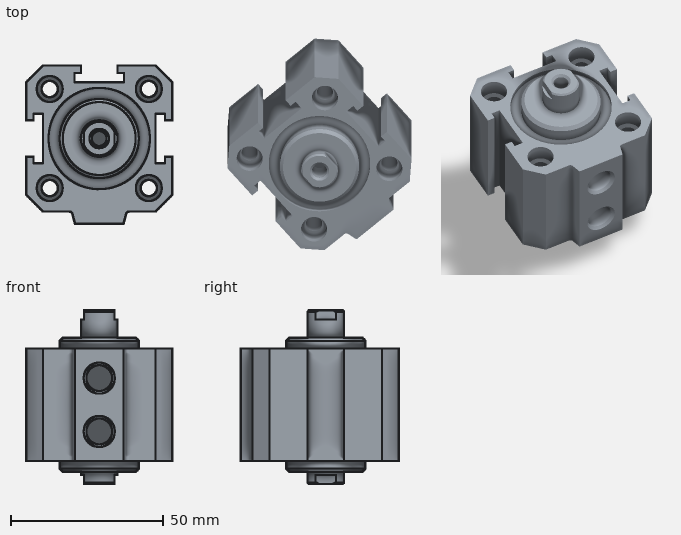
import cadquery as cq
import math


width = 48.0
half_width = width / 2
height = 36.95
half_height = height / 2
corner_chamfer = 5.6

slot_mouth = 11.9
slot_inner = 16.2
slot_depth = 5.5
slot_lip = 2.5

boss_projection = 4.0
boss_face_width = 15.95
boss_side_angle = 15
boss_root_width = boss_face_width + 2 * boss_projection * math.tan(math.radians(boss_side_angle))
boss_root_radius = 1.0
boss_front_y = -half_width - boss_projection

collar_diameter = 26.0
collar_projection = 3.55
collar_chamfer = 1.0
recess_diameter = 33.3
recess_depth = 1.8

mount_spacing = 32.5
mount_diameter = 5.3
mount_bore_diameter = 8.55
mount_bore_depth = 5.55

port_diameter = 8.5
port_mouth_diameter = 10.2
port_chamfer = (port_mouth_diameter - port_diameter) / 2
port_spacing = 17.5
port_depth = 11.95

rod_diameter = 12.0
rod_above = 12.55
rod_below = 7.5
rod_chamfer = 0.5
flat_spacing = 10.05
flat_length = 2.95
rod_hole_diameter = 4.9
rod_hole_mouth_diameter = 6.4
rod_hole_chamfer = (rod_hole_mouth_diameter - rod_hole_diameter) / 2
rod_hole_depth = 10.0


def end_plane(side, distance):
    """Plane across Z at the given distance from the origin, facing outward at the +1 or -1 end."""
    return cq.Plane(origin=(0, 0, side * distance), xDir=(1, 0, 0), normal=(0, 0, side))


def blind_hole(plane, diameter, depth, chamfer):
    """Cutter for a hole sunk against the plane's normal, with a 45 degree chamfered mouth."""
    radius = diameter / 2
    return (
        cq.Workplane("XZ")
        .moveTo(0, 0)
        .lineTo(radius + chamfer, 0)
        .lineTo(radius, -chamfer)
        .lineTo(radius, -depth)
        .lineTo(0, -depth)
        .close()
        .revolve(360, (0, 0, 0), (0, 1, 0))
        .val()
        .moved(cq.Location(plane))
    )


def make_boss():
    """Port boss with sloping sides, continued inward to the housing centre."""
    return (
        cq.Workplane("XY", origin=(0, 0, -half_height))
        .moveTo(-boss_face_width / 2, boss_front_y)
        .lineTo(boss_face_width / 2, boss_front_y)
        .lineTo(boss_root_width / 2, -half_width)
        .lineTo(boss_root_width / 2, 0)
        .lineTo(-boss_root_width / 2, 0)
        .lineTo(-boss_root_width / 2, -half_width)
        .close()
        .extrude(height)
    )


def make_slot():
    """Cutter for the T-slot in the back face."""
    mouth = cq.Workplane("XY").box(slot_mouth, 2 * slot_lip, height).translate((0, half_width, 0))
    inner_depth = slot_depth - slot_lip
    inner_y = half_width - slot_lip - inner_depth / 2
    inner = cq.Workplane("XY").box(slot_inner, inner_depth, height).translate((0, inner_y, 0))
    return mouth.union(inner)


def make_housing():
    body = cq.Workplane("XY").box(width, width, height).edges("|Z").chamfer(corner_chamfer)

    body = body.union(make_boss())
    for x in (-boss_root_width / 2, boss_root_width / 2):
        root = cq.selectors.NearestToPointSelector((x, -half_width, 0))
        body = body.edges(root).fillet(boss_root_radius)

    slot = make_slot()
    for angle in (-90, 0, 90):
        body = body.cut(slot.rotate((0, 0, 0), (0, 0, 1), angle))

    for side in (1, -1):
        recess_floor = end_plane(side, half_height - recess_depth)
        body = body.cut(cq.Workplane(recess_floor).circle(recess_diameter / 2).extrude(recess_depth))
        collar = (
            cq.Workplane(recess_floor)
            .circle(collar_diameter / 2)
            .extrude(recess_depth + collar_projection)
            .faces(">Z" if side > 0 else "<Z")
            .chamfer(collar_chamfer)
        )
        body = body.union(collar)
        counterbores = (
            cq.Workplane(end_plane(side, half_height - mount_bore_depth))
            .rect(mount_spacing, mount_spacing, forConstruction=True)
            .vertices()
            .circle(mount_bore_diameter / 2)
            .extrude(mount_bore_depth)
        )
        body = body.cut(counterbores)

    mount_holes = (
        cq.Workplane("XY", origin=(0, 0, -half_height))
        .rect(mount_spacing, mount_spacing, forConstruction=True)
        .vertices()
        .circle(mount_diameter / 2)
        .extrude(height)
    )
    body = body.cut(mount_holes)

    for z in (-port_spacing / 2, port_spacing / 2):
        face = cq.Plane(origin=(0, boss_front_y, z), xDir=(1, 0, 0), normal=(0, -1, 0))
        body = body.cut(cq.Workplane(blind_hole(face, port_diameter, port_depth, port_chamfer)))

    bore_length = height + 2 * collar_projection
    bore = cq.Workplane("XY").circle(rod_diameter / 2).extrude(bore_length / 2, both=True)
    return body.cut(bore)


def make_rod():
    rod = (
        cq.Workplane("XY", origin=(0, 0, -half_height - rod_below))
        .circle(rod_diameter / 2)
        .extrude(rod_below + height + rod_above)
        .faces("<Z or >Z")
        .chamfer(rod_chamfer)
    )
    for side, projection in ((1, rod_above), (-1, rod_below)):
        tip = half_height + projection

        flats = (
            cq.Workplane(end_plane(side, tip - flat_length))
            .rect(2 * rod_diameter, 2 * rod_diameter)
            .rect(flat_spacing, 2 * rod_diameter)
            .extrude(flat_length)
        )
        rod = rod.cut(flats)

        hole = blind_hole(end_plane(side, tip), rod_hole_diameter, rod_hole_depth, rod_hole_chamfer)
        rod = rod.cut(cq.Workplane(hole))
    return rod


housing = make_housing()
rod = make_rod()

result = cq.Compound.makeCompound([housing.val(), rod.val()])